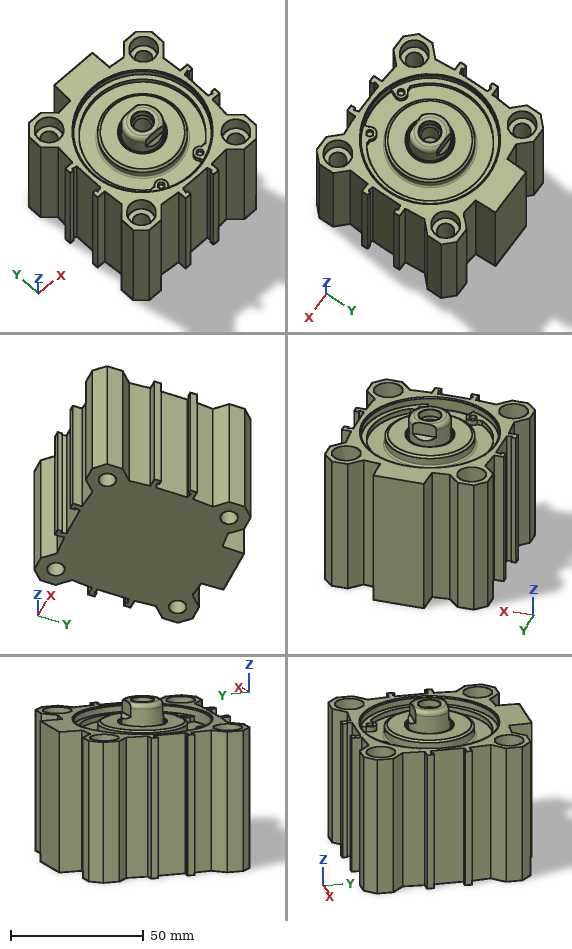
import cadquery as cq
import math

HOUSING_HEIGHT = 54.5
OVERALL_HEIGHT = 62.0
OVERALL_LENGTH = 70.0
OVERALL_WIDTH = 65.0
HALF_WIDTH = OVERALL_WIDTH / 2

CORNER_FLAT_START = 21.9
CORNER_FLAT_END = 28.3
WALL_VALLEY = 27.8
WALL_CREST = 28.5
RAIL_TIP = 32.3
RAIL_OUTER = 8.75
RAIL_LIP = 6.0
RAIL_LIP_BOTTOM = 30.45
RAIL_NECK = 6.85
RAIL_SLOT_FLOOR = 6.4
PORT_FACE = OVERALL_LENGTH - HALF_WIDTH
PORT_HALF_BASE = 10.35
PORT_HALF_FACE = 10.1

BOLT_PITCH = 50.0
BOLT_DIAMETER = 6.65
BOLT_COUNTERBORE_DIAMETER = 11.0
BOLT_COUNTERBORE_DEPTH = 7.0

MOUTH_DIAMETER = 52.2
MOUTH_CHAMFER = 0.5
COVER_DIAMETER = 51.8
COVER_FACE_DEPTH = 5.0
COVER_THICKNESS = 15.0

RING_OUTER_DIAMETER = 55.2
RING_INNER_DIAMETER = 48.0
RING_THICKNESS = 2.0
EAR_X = 10.2
EAR_Y = -20.65
EAR_RADIUS = 2.6
EAR_HOLE_DIAMETER = 2.7
EAR_SHOULDER_Y = -19.2
EAR_SHOULDER_X = 14.35
RING_END_ANGLE = 23.3

BOSS_DIAMETER = 34.0
BOSS_TOP_DEPTH = 0.9
BOSS_CHAMFER_WIDTH = 1.05
BOSS_CHAMFER_HEIGHT = 0.7
BOSS_FILLET = 0.7
RELIEF_DIAMETER = 16.5
RELIEF_DEPTH = 2.0
WIPER_BORE_DIAMETER = 17.7
WIPER_BORE_DEPTH = 0.7
WIPER_CHAMFER = 0.5

ROD_DIAMETER = 16.0
ROD_FILLET = 1.9
ACROSS_FLATS = 13.0
FLAT_BOTTOM_HEIGHT = 2.25
SOCKET_DIAMETER = 8.55
SOCKET_CHAMFER = 0.15
SOCKET_DEPTH = 3.0
SOCKET_CONE_DIAMETER = 8.25
DRILL_DIAMETER = 6.8
DRILL_DEPTH = 14.0
DRILL_POINT_ANGLE = 118

COVER_FACE_Z = HOUSING_HEIGHT - COVER_FACE_DEPTH
SEAT_FLOOR_Z = COVER_FACE_Z - COVER_THICKNESS
BOSS_TOP_Z = HOUSING_HEIGHT - BOSS_TOP_DEPTH


def cylinder(diameter, z_bottom, z_top):
    return cq.Workplane("XY", origin=(0, 0, z_bottom)).circle(diameter / 2).extrude(z_top - z_bottom)


def revolved(half_profile):
    """Revolve an (r, z) outline about the Z axis."""
    return cq.Workplane("XZ").polyline(half_profile).close().revolve(360, (0, 0), (0, 1))


def mirrored_side(half_side):
    """Side outline on -Y, left to right, from its right half listed outwards."""
    return [(-x, y) for x, y in reversed(half_side)] + half_side


def turned(points, quarter_turns):
    """Turn points about the Z axis by whole quarter turns."""
    for _ in range(quarter_turns):
        points = [(-y, x) for x, y in points]
    return points


def housing_outline():
    lug = [
        (CORNER_FLAT_START - (HALF_WIDTH - WALL_VALLEY), -WALL_VALLEY),
        (CORNER_FLAT_START, -HALF_WIDTH),
        (CORNER_FLAT_END, -HALF_WIDTH),
    ]
    rail = [
        (RAIL_SLOT_FLOOR, -WALL_CREST),
        (RAIL_NECK, -RAIL_LIP_BOTTOM),
        (RAIL_LIP, -RAIL_LIP_BOTTOM),
        (RAIL_LIP, -RAIL_TIP),
        (RAIL_OUTER, -RAIL_TIP),
        (RAIL_OUTER, -WALL_CREST),
    ]
    port = [
        (PORT_HALF_FACE, -PORT_FACE),
        (PORT_HALF_BASE, -WALL_CREST),
    ]
    outline = []
    for quarter, feature in enumerate([rail, rail, port, rail]):
        outline += turned(mirrored_side(feature + lug), quarter)
    return outline


def make_housing():
    body = cq.Workplane("XY").polyline(housing_outline()).close().extrude(HOUSING_HEIGHT)
    body = (
        body.faces(">Z").workplane(origin=(0, 0, 0))
        .rect(BOLT_PITCH, BOLT_PITCH, forConstruction=True).vertices()
        .cboreHole(BOLT_DIAMETER, BOLT_COUNTERBORE_DIAMETER, BOLT_COUNTERBORE_DEPTH)
    )
    seat_radius = COVER_DIAMETER / 2
    mouth_radius = MOUTH_DIAMETER / 2
    cavity = revolved([
        (0, SEAT_FLOOR_Z),
        (seat_radius, SEAT_FLOOR_Z),
        (seat_radius, COVER_FACE_Z),
        (mouth_radius, COVER_FACE_Z),
        (mouth_radius, HOUSING_HEIGHT - MOUTH_CHAMFER),
        (mouth_radius + MOUTH_CHAMFER, HOUSING_HEIGHT),
        (0, HOUSING_HEIGHT),
    ])
    return body.cut(cavity).cut(make_snap_ring())


def ring_gap():
    """Wedge between the ring ends, each end running tangent to its ear."""
    tilt = math.radians(RING_END_ANGLE)
    tangent_x = EAR_X - EAR_RADIUS * math.cos(tilt)
    tangent_y = EAR_Y - EAR_RADIUS * math.sin(tilt)
    gap_y = -RING_OUTER_DIAMETER / 2
    gap_x = tangent_x + (tangent_y - gap_y) * math.tan(tilt)
    return (
        cq.Workplane("XY", origin=(0, 0, COVER_FACE_Z))
        .polyline([(-tangent_x, tangent_y), (tangent_x, tangent_y), (gap_x, gap_y), (-gap_x, gap_y)])
        .close().extrude(RING_THICKNESS)
    )


def make_snap_ring():
    base = cq.Workplane("XY", origin=(0, 0, COVER_FACE_Z))
    ear_places = [(-EAR_X, EAR_Y), (EAR_X, EAR_Y)]
    ring = cylinder(RING_OUTER_DIAMETER, COVER_FACE_Z, COVER_FACE_Z + RING_THICKNESS)
    ring = ring.cut(base.circle(RING_INNER_DIAMETER / 2).extrude(RING_THICKNESS))
    shoulder_length = EAR_SHOULDER_X - EAR_X
    shoulder_height = EAR_SHOULDER_Y + RING_INNER_DIAMETER / 2
    shoulders = (
        base.pushPoints([
            (side * (EAR_X + shoulder_length / 2), EAR_SHOULDER_Y - shoulder_height / 2)
            for side in (-1, 1)
        ])
        .rect(shoulder_length, shoulder_height).extrude(RING_THICKNESS)
        .intersect(base.circle(RING_OUTER_DIAMETER / 2).extrude(RING_THICKNESS))
    )
    ring = ring.union(shoulders).cut(ring_gap())
    ring = ring.union(base.pushPoints(ear_places).circle(EAR_RADIUS).extrude(RING_THICKNESS))
    return ring.cut(base.pushPoints(ear_places).circle(EAR_HOLE_DIAMETER / 2).extrude(RING_THICKNESS))


def make_cover():
    boss_radius = BOSS_DIAMETER / 2
    cover = cylinder(COVER_DIAMETER, SEAT_FLOOR_Z, COVER_FACE_Z)
    boss = revolved([
        (0, COVER_FACE_Z),
        (boss_radius, COVER_FACE_Z),
        (boss_radius, BOSS_TOP_Z - BOSS_CHAMFER_HEIGHT),
        (boss_radius - BOSS_CHAMFER_WIDTH, BOSS_TOP_Z),
        (0, BOSS_TOP_Z),
    ])
    cover = cover.union(boss)
    shoulder_point = ((boss_radius + COVER_DIAMETER / 2) / 2, 0, COVER_FACE_Z)
    shoulder = cover.faces(cq.selectors.NearestToPointSelector(shoulder_point))
    boss_foot = cq.selectors.RadiusNthSelector(0)
    cover = shoulder.edges(boss_foot).fillet(BOSS_FILLET)

    guide_radius = ROD_DIAMETER / 2
    relief_radius = RELIEF_DIAMETER / 2
    wiper_radius = WIPER_BORE_DIAMETER / 2
    bore = revolved([
        (0, SEAT_FLOOR_Z),
        (guide_radius, SEAT_FLOOR_Z),
        (guide_radius, BOSS_TOP_Z - RELIEF_DEPTH),
        (relief_radius, BOSS_TOP_Z - RELIEF_DEPTH),
        (relief_radius, BOSS_TOP_Z - WIPER_BORE_DEPTH),
        (wiper_radius, BOSS_TOP_Z - WIPER_BORE_DEPTH),
        (wiper_radius, BOSS_TOP_Z - WIPER_CHAMFER),
        (wiper_radius + WIPER_CHAMFER, BOSS_TOP_Z),
        (0, BOSS_TOP_Z),
    ])
    return cover.cut(bore)


def rod_socket():
    """Stepped socket in the rod end: counterbore, 45 degree cone, drilled hole."""
    cone_height = (SOCKET_CONE_DIAMETER - DRILL_DIAMETER) / 2
    drill_radius = DRILL_DIAMETER / 2
    socket_floor = OVERALL_HEIGHT - SOCKET_DEPTH
    drill_end = OVERALL_HEIGHT - DRILL_DEPTH
    point_height = drill_radius / math.tan(math.radians(DRILL_POINT_ANGLE / 2))
    return revolved([
        (0, drill_end - point_height),
        (drill_radius, drill_end),
        (drill_radius, socket_floor - cone_height),
        (SOCKET_CONE_DIAMETER / 2, socket_floor),
        (SOCKET_DIAMETER / 2, socket_floor),
        (SOCKET_DIAMETER / 2, OVERALL_HEIGHT - SOCKET_CHAMFER),
        (SOCKET_DIAMETER / 2 + SOCKET_CHAMFER, OVERALL_HEIGHT),
        (0, OVERALL_HEIGHT),
    ])


def wrench_flats():
    """Cutters for the two flats, each ending below in a 45 degree run-out."""
    flat_y = ACROSS_FLATS / 2
    flat_z = HOUSING_HEIGHT + FLAT_BOTTOM_HEIGHT
    runout = ROD_DIAMETER / 2 - flat_y
    cutter = (
        cq.Workplane("YZ")
        .polyline([
            (flat_y, OVERALL_HEIGHT),
            (flat_y, flat_z),
            (flat_y + runout, flat_z - runout),
            (flat_y + runout, OVERALL_HEIGHT),
        ])
        .close().extrude(ROD_DIAMETER / 2, both=True)
    )
    return cutter.union(cutter.mirror("XZ"))


def make_rod():
    rod = cylinder(ROD_DIAMETER, SEAT_FLOOR_Z, OVERALL_HEIGHT)
    rod = rod.faces(">Z").edges().fillet(ROD_FILLET)
    return rod.cut(wrench_flats()).cut(rod_socket())


housing = make_housing()
snap_ring = make_snap_ring()
cover = make_cover()
rod = make_rod()

result = cq.Compound.makeCompound([housing.val(), snap_ring.val(), cover.val(), rod.val()])